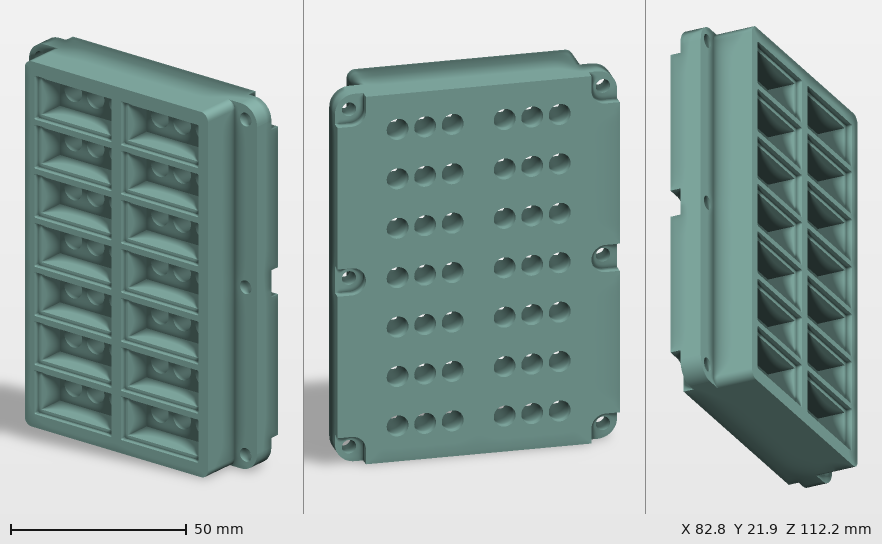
import cadquery as cq

WIDTH = 82.8
HEIGHT = 112.2
DEPTH = 21.9
FLANGE_THICKNESS = 9.7
FLANGE_CORNER_RADIUS = 5.8
BLOCK_WIDTH = 66.4
BLOCK_CORNER_RADIUS = 2.5

SCREW_DIAMETER = 4.2
SCREW_SIDE_INSET = 4.2
SCREW_END_INSET = 4.6
RELIEF_RADIUS = 4.2
RELIEF_DEPTH = 3.1

COLUMNS = 2
ROWS = 7
GRID_HEIGHT = 104.0
COLUMN_GAP = 3.4
POCKET_WIDTH = 28.0
POCKET_HEIGHT = 13.5
POCKET_CORNER_RADIUS = 0.5
LEDGE_WIDTH = 1.1
LEDGE_DEPTH = 1.8
FLOOR_THICKNESS = 11.6
LAMP_DIAMETER = 6.4
LAMP_PITCH = 8.1
LAMPS_PER_POCKET = 3
COLUMN_PITCH = POCKET_WIDTH + COLUMN_GAP
ROW_PITCH = (GRID_HEIGHT - POCKET_HEIGHT) / (ROWS - 1)

FRONT_Y = -DEPTH
SCREW_X = WIDTH / 2 - SCREW_SIDE_INSET
SCREW_Z = HEIGHT / 2 - SCREW_END_INSET


def slab(width, height, y_start, y_end):
    """Box centred on X and Z between two depths."""
    return (
        cq.Workplane("XY")
        .box(width, y_end - y_start, height, centered=(True, False, True))
        .translate((0, y_start, 0))
    )


def through_holes(points, diameter):
    """Cylinders along Y through the full depth at the given (x, z) points."""
    return cq.Workplane("XZ").pushPoints(points).circle(diameter / 2).extrude(DEPTH)


def centred_steps(count, pitch):
    """Evenly spaced positions, symmetric about zero."""
    return [(i - (count - 1) / 2) * pitch for i in range(count)]


def body():
    """Wide flange at the back with the raised block in front."""
    flange = slab(WIDTH, HEIGHT, -FLANGE_THICKNESS, 0).edges("|Y").fillet(FLANGE_CORNER_RADIUS)
    block = slab(BLOCK_WIDTH, HEIGHT, FRONT_Y, -FLANGE_THICKNESS).edges("|Y").fillet(BLOCK_CORNER_RADIUS)
    return flange.union(block)


def back_reliefs():
    """Shallow recesses behind the +X screws, open to the nearby edges."""
    relief_width = RELIEF_RADIUS + SCREW_SIDE_INSET
    corner_height = RELIEF_RADIUS + SCREW_END_INSET
    relief_x = (WIDTH - relief_width) / 2
    corner_z = (HEIGHT - corner_height) / 2
    corner = (
        slab(relief_width, corner_height, -RELIEF_DEPTH, 0)
        .edges("|Y")
        .edges("<X and <Z")
        .fillet(RELIEF_RADIUS)
        .translate((relief_x, 0, corner_z))
    )
    round_end = cq.Workplane("XZ").center(SCREW_X, 0).circle(RELIEF_RADIUS).extrude(RELIEF_DEPTH)
    open_end = slab(SCREW_SIDE_INSET, 2 * RELIEF_RADIUS, -RELIEF_DEPTH, 0).translate(
        (SCREW_X + SCREW_SIDE_INSET / 2, 0, 0)
    )
    return corner.union(corner.mirror("XY")).union(round_end).union(open_end)


def pocket():
    """Rounded mouth stepping in to a deeper well, centred on the Y axis."""
    ledge_y = FRONT_Y + LEDGE_DEPTH
    mouth = slab(POCKET_WIDTH, POCKET_HEIGHT, FRONT_Y, ledge_y).edges("|Y").fillet(POCKET_CORNER_RADIUS)
    well_width = POCKET_WIDTH - 2 * LEDGE_WIDTH
    well_height = POCKET_HEIGHT - 2 * LEDGE_WIDTH
    well = slab(well_width, well_height, FRONT_Y, -FLOOR_THICKNESS)
    lamps = [(x, 0) for x in centred_steps(LAMPS_PER_POCKET, LAMP_PITCH)]
    return mouth.union(well).union(through_holes(lamps, LAMP_DIAMETER))


screws = [(x, z) for x in (-SCREW_X, SCREW_X) for z in (-SCREW_Z, 0, SCREW_Z)]
reliefs = back_reliefs()
result = (
    body()
    .cut(through_holes(screws, SCREW_DIAMETER))
    .cut(reliefs)
    .cut(reliefs.mirror("YZ"))
)

pocket_cutter = pocket()
for column_x in centred_steps(COLUMNS, COLUMN_PITCH):
    for row_z in centred_steps(ROWS, ROW_PITCH):
        result = result.cut(pocket_cutter.translate((column_x, 0, row_z)))